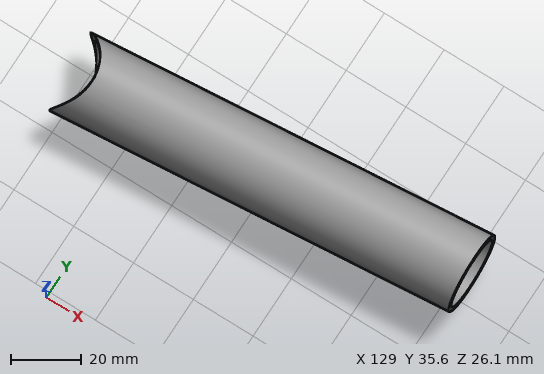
import cadquery as cq

tube_diameter = 25.0
wall = 1.5
rise_y = 0.083
rise_z = 0.009

post_radius = 14.5
post_lean_x = 0.12
post_lean_y = -0.085

end_x = 135.0
end_tilt_y = 0.016
end_tilt_z = -0.011

overrun = 25.8
tube_radius = tube_diameter / 2
tube_axis = cq.Vector(1, rise_y, rise_z)
post_axis = cq.Vector(post_lean_x, post_lean_y, 1)


def rod(radius, start, length, axis):
    return cq.Workplane(obj=cq.Solid.makeCylinder(radius, length, start, axis))


origin = cq.Vector(0, 0, 0)
tube_length = end_x * tube_axis.Length + overrun
outer = rod(tube_radius, origin, tube_length, tube_axis)
bore = rod(tube_radius - wall, origin, tube_length, tube_axis)
tube = outer.cut(bore)

post_half_length = tube_radius + overrun
post_start = post_axis.normalized() * -post_half_length
post = rod(post_radius, post_start, 2 * post_half_length, post_axis)

end_plane = cq.Plane(
    origin=tube_axis * end_x,
    xDir=(-end_tilt_y, 1, 0),
    normal=(1, end_tilt_y, end_tilt_z),
)
trim_side = 4 * tube_diameter
end_trim = cq.Workplane(end_plane).rect(trim_side, trim_side).extrude(2 * overrun)

result = tube.cut(post).cut(end_trim)